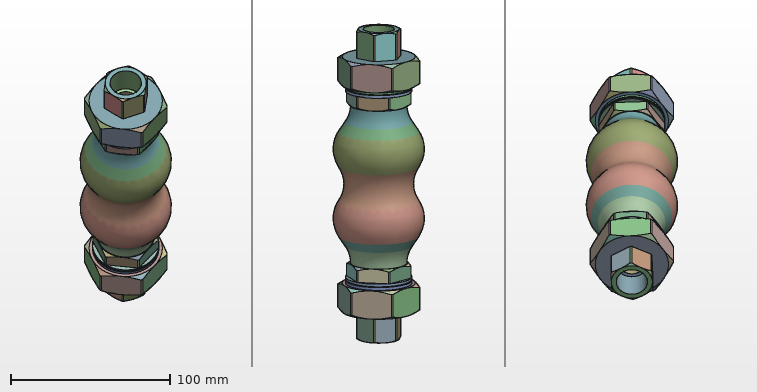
import cadquery as cq
import math

length = 200.0
half_length = length / 2

end_hex_height = 17.8
nut_height = 18.2
collar_height = 4.0
neck_hex_height = 9.0
nut_start = end_hex_height
collar_start = nut_start + nut_height
neck_hex_start = collar_start + collar_height
body_start = neck_hex_start + neck_hex_height

end_hex_flats = 25.8
end_hex_corners = 29.2
nut_flats = 46.0
nut_corners = 52.5
neck_hex_flats = 36.5
neck_hex_corners = 41.5
end_hex_turn = 0
nut_turn = 30
neck_hex_turn = 30
chamfer_angle = math.radians(30)

collar_diameter = 41.8
groove_width = 0.5
groove_depth = 0.5

neck_diameter = 35.5
bulge_diameter = 57.5
waist_diameter = 44.0
bulge_spacing = 44.8

bore_diameter = 15.0
mouth_diameter = 19.5
mouth_depth = end_hex_height


def chamfered_hex(start, height, flats, corners, corner_turn, chamfer_low, chamfer_high):
    """Hexagonal prism with turned corners; a chamfered end tapers to the flats at its face."""
    circumscribed = flats / math.cos(math.pi / 6)
    prism = (
        cq.Workplane("XY")
        .workplane(offset=start)
        .polygon(6, circumscribed)
        .extrude(height)
        .rotate((0, 0, 0), (0, 0, 1), corner_turn)
    )
    flat_radius = flats / 2
    corner_radius = corners / 2
    drop = (corner_radius - flat_radius) * math.tan(chamfer_angle)
    end = start + height
    outline = [(0, start)]
    if chamfer_low:
        outline += [(flat_radius, start), (corner_radius, start + drop)]
    else:
        outline += [(corner_radius, start)]
    if chamfer_high:
        outline += [(corner_radius, end - drop), (flat_radius, end)]
    else:
        outline += [(corner_radius, end)]
    outline += [(0, end)]
    envelope = cq.Workplane("XZ").polyline(outline).close().revolve(360, (0, 0, 0), (0, 1, 0))
    return prism.intersect(envelope)


def grooved_collar():
    """Round collar with a narrow groove around its middle."""
    collar = (
        cq.Workplane("XY")
        .workplane(offset=collar_start)
        .circle(collar_diameter / 2)
        .extrude(collar_height)
    )
    groove = (
        cq.Workplane("XY")
        .workplane(offset=collar_start + (collar_height - groove_width) / 2)
        .circle(collar_diameter / 2)
        .circle(collar_diameter / 2 - groove_depth)
        .extrude(groove_width)
    )
    return collar.cut(groove)


def end_fitting():
    """End hexagon, union nut, collar and neck hexagon, with the outer face at Z = 0."""
    end_hex = chamfered_hex(
        0, end_hex_height, end_hex_flats, end_hex_corners, end_hex_turn, True, False
    )
    nut = chamfered_hex(nut_start, nut_height, nut_flats, nut_corners, nut_turn, True, True)
    neck_hex = chamfered_hex(
        neck_hex_start, neck_hex_height, neck_hex_flats, neck_hex_corners, neck_hex_turn, False, True
    )
    return end_hex.union(nut).union(grooved_collar()).union(neck_hex)


def wavy_body():
    """Body of revolution: neck, bulge, waist, bulge and neck joined smoothly."""
    neck_radius = neck_diameter / 2
    bulge_radius = bulge_diameter / 2
    waist_radius = waist_diameter / 2
    waist_drop = bulge_radius - waist_radius
    half_spacing = bulge_spacing / 2

    arc_radius = (half_spacing**2 + waist_drop**2) / (4 * waist_drop)
    arc_angle = math.asin(half_spacing / 2 / arc_radius)
    arc_rise = arc_radius * math.sin(arc_angle)
    arc_sag = arc_radius * (1 - math.cos(arc_angle))
    mid_rise = arc_radius * math.sin(arc_angle / 2)
    mid_sag = arc_radius * (1 - math.cos(arc_angle / 2))

    cone_drop = bulge_radius - neck_radius - 2 * arc_sag
    cone_rise = cone_drop / math.tan(arc_angle)
    body_half = half_length - body_start
    cone_top = half_spacing + arc_rise + cone_rise
    neck_end = cone_top + arc_rise

    def bulge(outline, centre):
        """Append the crown of a bulge, as a spline close to a tangent arc."""
        crown = [
            (bulge_radius - mid_sag, centre - mid_rise),
            (bulge_radius, centre),
            (bulge_radius - mid_sag, centre + mid_rise),
            (bulge_radius - arc_sag, centre + arc_rise),
        ]
        start_direction = (math.sin(arc_angle), math.cos(arc_angle))
        end_direction = (-math.sin(arc_angle), math.cos(arc_angle))
        return outline.spline(crown, tangents=[start_direction, end_direction], includeCurrent=True)

    outline = (
        cq.Workplane("XZ")
        .moveTo(0, -body_half)
        .lineTo(neck_radius, -body_half)
        .lineTo(neck_radius, -neck_end)
        .threePointArc((neck_radius + mid_sag, mid_rise - neck_end), (neck_radius + arc_sag, -cone_top))
        .lineTo(bulge_radius - arc_sag, -half_spacing - arc_rise)
    )
    outline = bulge(outline, -half_spacing)
    outline = outline.threePointArc((waist_radius, 0), (waist_radius + arc_sag, arc_rise))
    outline = bulge(outline, half_spacing)
    outline = (
        outline.lineTo(neck_radius + arc_sag, cone_top)
        .threePointArc((neck_radius + mid_sag, neck_end - mid_rise), (neck_radius, neck_end))
        .lineTo(neck_radius, body_half)
        .lineTo(0, body_half)
        .close()
    )
    return outline.revolve(360, (0, 0, 0), (0, 1, 0))


def bore_and_mouths():
    """Through bore with a wider mouth at each end."""
    bore = cq.Workplane("XY").circle(bore_diameter / 2).extrude(half_length, both=True)
    for mouth_start in (-half_length, half_length - mouth_depth):
        mouth = (
            cq.Workplane("XY")
            .workplane(offset=mouth_start)
            .circle(mouth_diameter / 2)
            .extrude(mouth_depth)
        )
        bore = bore.union(mouth)
    return bore


lower_end = end_fitting().translate((0, 0, -half_length))
upper_end = lower_end.mirror("XY")
result = wavy_body().union(lower_end).union(upper_end).cut(bore_and_mouths())